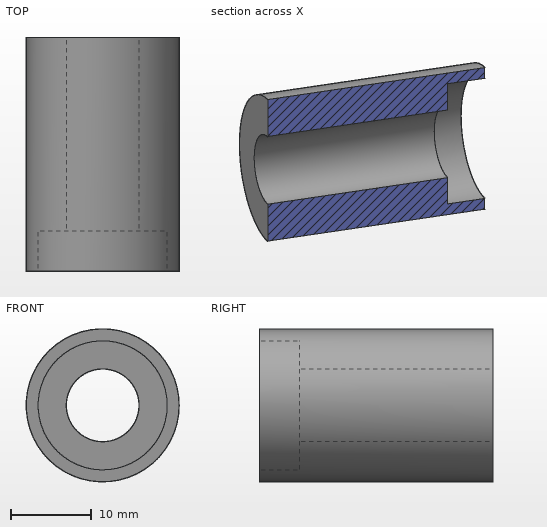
import cadquery as cq

length = 29.0
outer_diameter = 19.0
bore_diameter = 9.0
recess_diameter = 16.0
recess_depth = 5.0

front_y = -length / 2


def cylinder_from_front(diameter, depth):
    """Cylinder that starts at the front end and runs toward +Y."""
    front_plane = cq.Plane(origin=(0, front_y, 0), xDir=(1, 0, 0), normal=(0, 1, 0))
    return cq.Workplane(front_plane).circle(diameter / 2).extrude(depth)


body = cylinder_from_front(outer_diameter, length)
through_bore = cylinder_from_front(bore_diameter, length)
front_recess = cylinder_from_front(recess_diameter, recess_depth)

result = body.cut(through_bore).cut(front_recess)